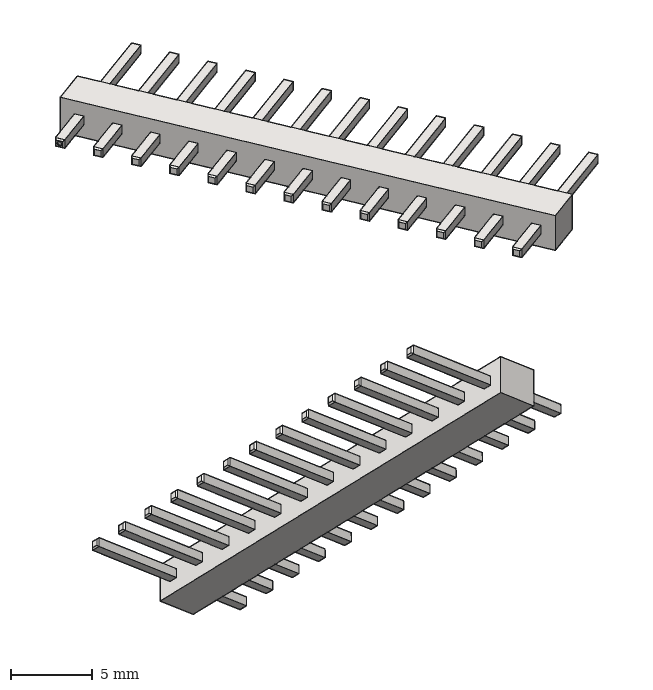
import cadquery as cq

body_length = 33.02
pin_count = 13
body_depth = 2.6
front_pin_length = 3.0
back_pin_length = 6.17
pin_side = 0.63
tip_chamfer = 0.1
mark_diameter = 0.3
mark_depth = 0.1

pitch = body_length / pin_count
body_height = pitch
first_pin_x = -(body_length - pitch) / 2
pin_length = front_pin_length + body_depth + back_pin_length
pin_front_y = -body_depth / 2 - front_pin_length
pin_middle_y = pin_front_y + pin_length / 2


def make_body():
    """Plain insulating bar centred on the origin."""
    return cq.Workplane("XY").box(body_length, body_depth, body_height)


def make_pin(x):
    """Square pin along Y with both ends chamfered."""
    pin = cq.Workplane("XY").box(pin_side, pin_length, pin_side)
    pin = pin.faces("<Y or >Y").chamfer(tip_chamfer)
    return pin.translate((x, pin_middle_y, 0))


def make_first_pin_mark():
    """Cutter for the round recess in the front tip of the first pin."""
    start = cq.Vector(first_pin_x, pin_front_y, 0)
    return cq.Solid.makeCylinder(mark_diameter / 2, mark_depth, start, cq.Vector(0, 1, 0))


result = make_body()
for index in range(pin_count):
    result = result.union(make_pin(first_pin_x + index * pitch))
result = result.cut(cq.Workplane(obj=make_first_pin_mark()))